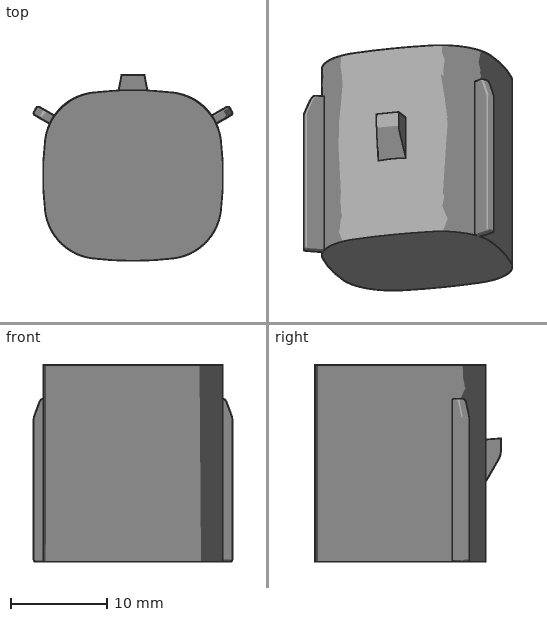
import cadquery as cq
import math

body_width = 18.8
body_depth = 17.8
body_height = 20.5
front_bulge_radius = 35.0
side_bulge_radius = 29.2
corner_radius = 5.7

fin_span = 20.73
fin_thickness = 1.0
fin_angle = 30.0
fin_origin_y = 0.95
fin_height = 17.0
fin_lead_in_height = 2.0
fin_lead_in_depth = 0.85
fin_lead_in_tip_radius = 1.0
fin_lead_in_top_radius = 0.6
fin_edge_radius = 0.25
fin_root = 5.0

catch_reach = 1.59
catch_embed = 0.5
catch_base_width = 3.0
catch_tip_width = 2.4
catch_bottom_z = 8.35
catch_top_z = 12.75
catch_top_rise = 0.12
catch_ramp_angle = 60.0
catch_nose_radius = 2.0

back_y = body_depth / 2


def bulged_slab(thickness, radius):
    """Lens-shaped prism, convex toward -Y and +Y, with the given thickness at its middle."""
    center_y = radius - thickness / 2
    front = cq.Workplane("XY").center(0, center_y).circle(radius).extrude(body_height)
    back = cq.Workplane("XY").center(0, -center_y).circle(radius).extrude(body_height)
    return front.intersect(back)


def make_body():
    front_and_back = bulged_slab(body_depth, front_bulge_radius)
    sides = bulged_slab(body_width, side_bulge_radius).rotate((0, 0, 0), (0, 0, 1), 90)
    return front_and_back.intersect(sides).edges("|Z").fillet(corner_radius)


def make_right_fin():
    """Plate drawn along X, rounded on its exposed edges, then swung to its angle."""
    angle = math.radians(fin_angle)
    corner_offset = (fin_thickness / 2 - fin_edge_radius) * math.sin(angle)
    corner_center_x = fin_span / 2 - fin_edge_radius
    fin_tip = (corner_center_x - corner_offset) / math.cos(angle) + fin_edge_radius
    profile = [
        (fin_root, 0),
        (fin_tip, 0),
        (fin_tip, fin_height - fin_lead_in_height),
        (fin_tip - fin_lead_in_depth, fin_height),
        (fin_root, fin_height),
    ]
    plate = cq.Workplane("XZ").polyline(profile).close().extrude(fin_thickness / 2, both=True)
    blended = plate.edges("|Y and >X").edges(">Z").fillet(fin_lead_in_tip_radius)
    blended = blended.edges("|Y and >Z").edges(">X").fillet(fin_lead_in_top_radius)
    rounded = blended.edges("not <X").fillet(fin_edge_radius)
    return rounded.rotate((0, 0, 0), (0, 0, 1), fin_angle).translate((0, fin_origin_y, 0))


def make_catch():
    """Side profile trimmed to a plan shape that narrows toward the tip."""
    ramp_slope = math.tan(math.radians(catch_ramp_angle))
    top_slope = catch_top_rise / catch_reach
    tip_y = back_y + catch_reach
    root_y = back_y - catch_embed
    profile = [
        (root_y, catch_bottom_z - catch_embed * ramp_slope),
        (tip_y, catch_bottom_z + catch_reach * ramp_slope),
        (tip_y, catch_top_z + catch_top_rise),
        (root_y, catch_top_z - catch_embed * top_slope),
    ]
    hook = cq.Workplane("YZ").polyline(profile).close().extrude(catch_base_width, both=True)
    hook = hook.edges("|X and >Y").edges("<Z").fillet(catch_nose_radius)

    side_taper = (catch_base_width - catch_tip_width) / 2 / catch_reach
    half_root = catch_base_width / 2 + catch_embed * side_taper
    half_tip = catch_tip_width / 2
    plan = [
        (-half_root, root_y),
        (half_root, root_y),
        (half_tip, tip_y),
        (-half_tip, tip_y),
    ]
    return hook.intersect(cq.Workplane("XY").polyline(plan).close().extrude(body_height))


right_fin = make_right_fin()
left_fin = right_fin.mirror("YZ")
result = make_body().union(right_fin).union(left_fin).union(make_catch())